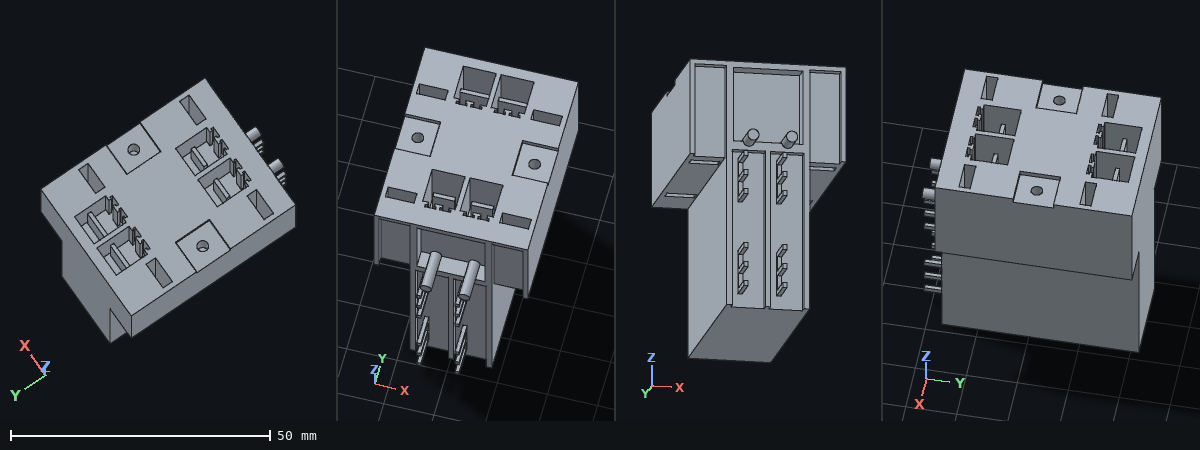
import cadquery as cq


width = 30.65
depth = 38.7
height = 48.9
stem_width = 16.35
head_height = 19.0

skin = 1.0
side_recess_depth = 1.7
upper_recess_width = 13.6
upper_recess_roof = 1.25
upper_recess_height = 14.7
upper_recess_depth = 3.35
lower_recess_top = 31.15
lower_recess_depth = 1.55

half_rib = 0.5
cell_outer = 7.05
column_x = 3.8
row_pitch = 23.7
columns = (-1, 1)
rows = (0, 1)

pocket_front = 5.45
pocket_back = 12.7
pocket_depth = 11.75
step_front = 5.2
key_neck_inner = 0.8
key_neck_outer = 2.1
key_foot_inner = 0.4
key_foot_outer = 2.55
key_foot_back = 4.85
key_foot_front = 4.35

slot_length = 5.7
slot_width = 2.2
slot_x = 11.4
slot_front = 4.55

seat_length = 7.15
seat_width = 7.9
seat_depth = 1.0
seat_hole_x = 11.65
seat_hole_diameter = 2.2
seat_hole_depth = 5.85

peg_diameter = 2.2
peg_z = 33.05

reach = 4.5
fork_thickness = 0.85
fork_offset = -1.4
fork_tops = (29.8, 11.35)
prong_count = 3
prong_pitch = 3.8
prong_height = 1.0
web_front = 0.8
blade_widths = (4.35, 5.9)
blade_thickness = 0.85
blade_front = 9.0
blade_top_depth = 3.7


def block(x_range, y_range, z_range):
    """Box given by its two limits along each axis."""
    (x0, x1), (y0, y1), (z0, z1) = x_range, y_range, z_range
    corner = cq.Vector(min(x0, x1), y0, z0)
    return cq.Workplane(cq.Solid.makeBox(abs(x1 - x0), y1 - y0, z1 - z0, corner))


def make_shell():
    """T-shaped block: a wide head on a narrow stem."""
    head = block((-width / 2, width / 2), (0, depth), (height - head_height, height))
    stem = block((-stem_width / 2, stem_width / 2), (0, depth), (0, height))
    return head.union(stem)


def front_recesses():
    """Recesses in the front face: one upper, and one side and one lower recess per column."""
    upper_top = height - upper_recess_roof
    cut = block(
        (-upper_recess_width / 2, upper_recess_width / 2),
        (0, upper_recess_depth),
        (upper_top - upper_recess_height, upper_top),
    )
    for side in columns:
        cut = cut.union(block(
            (side * stem_width / 2, side * (width / 2 - skin)),
            (0, side_recess_depth),
            (height - head_height, height - skin),
        ))
        cut = cut.union(block(
            (side * half_rib, side * cell_outer),
            (0, lower_recess_depth),
            (0, lower_recess_top),
        ))
    return cut


def plug_pocket(side, row):
    """Plug pocket with two T-shaped keyways and a shallow step along its front edge."""
    axis = side * column_x
    shift = row * row_pitch
    z_range = (height - pocket_depth, height)
    front = pocket_front + shift
    pocket = block((side * half_rib, side * cell_outer), (front, pocket_back + shift), z_range)
    step = block(
        (side * half_rib, axis - side * key_neck_outer),
        (step_front + shift, front),
        z_range,
    )
    pocket = pocket.union(step)
    for hand in (-1, 1):
        neck = block(
            (axis + hand * key_neck_inner, axis + hand * key_neck_outer),
            (key_foot_back + shift, front),
            z_range,
        )
        foot = block(
            (axis + hand * key_foot_inner, axis + hand * key_foot_outer),
            (key_foot_front + shift, key_foot_back + shift),
            z_range,
        )
        pocket = pocket.union(neck).union(foot)
    return pocket


def through_slot(side, row):
    """Slot through the full height of the head."""
    middle = side * slot_x
    front = slot_front + row * row_pitch
    return block(
        (middle - slot_length / 2, middle + slot_length / 2),
        (front, front + slot_width),
        (height - head_height, height),
    )


def mounting_seat(side):
    """Shallow seat open at the side of the head, with a blind hole in it."""
    seat_z = height - seat_depth
    seat = block(
        (side * (width / 2 - seat_length), side * width / 2),
        ((depth - seat_width) / 2, (depth + seat_width) / 2),
        (seat_z, height),
    )
    hole = (
        cq.Workplane("XY", origin=(side * seat_hole_x, depth / 2, seat_z - seat_hole_depth))
        .circle(seat_hole_diameter / 2)
        .extrude(seat_hole_depth)
    )
    return seat.union(hole)


def peg(side):
    """Round peg from the back of the upper recess out past the front face."""
    return (
        cq.Workplane("XZ", origin=(side * column_x, upper_recess_depth, peg_z))
        .circle(peg_diameter / 2)
        .extrude(upper_recess_depth + reach)
    )


def make_terminal(side, row):
    """Upright blade in a plug pocket, joined by a strip to a three-pronged fork at the front."""
    axis = side * column_x
    fork_x = axis + fork_offset
    fork_sides = (fork_x - fork_thickness / 2, fork_x + fork_thickness / 2)
    fork_top = fork_tops[row]
    fork_bottom = fork_top - (prong_count - 1) * prong_pitch - prong_height
    blade_y = blade_front + row * row_pitch
    blade_half = blade_widths[row] / 2
    terminal = block(
        (axis - blade_half, axis + blade_half),
        (blade_y, blade_y + blade_thickness),
        (fork_bottom, height - blade_top_depth),
    )
    terminal = terminal.union(block(fork_sides, (web_front, blade_y), (fork_bottom, fork_top)))
    for index in range(prong_count):
        prong_top = fork_top - index * prong_pitch
        prong = block(fork_sides, (-reach, web_front), (prong_top - prong_height, prong_top))
        terminal = terminal.union(prong)
    return terminal


def make_housing(fitted_terminals):
    """Housing with its pegs, and with a matching cavity around every terminal."""
    body = make_shell().cut(front_recesses())
    for side in columns:
        body = body.cut(mounting_seat(side))
        for row in rows:
            body = body.cut(plug_pocket(side, row)).cut(through_slot(side, row))
        body = body.union(peg(side))
    for terminal in fitted_terminals:
        body = body.cut(terminal)
    return body


terminals = [make_terminal(side, row) for side in columns for row in rows]
housing = make_housing(terminals)

bodies = [housing, *terminals]
result = cq.Compound.makeCompound([body.solids().val() for body in bodies])